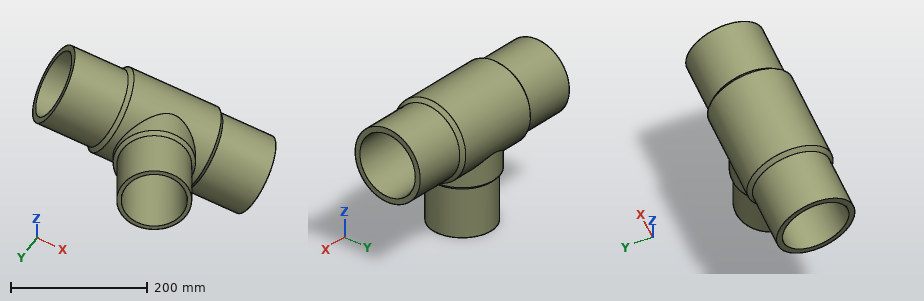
import cadquery as cq

run_length = 340.0
run_diameter = 125.0
run_bore = 106.0

body_length = 160.0
body_diameter = 137.5
body_chamfer = (body_diameter - run_diameter) / 2

branch_reach = 167.0
branch_diameter = 110.0
branch_bore = 96.8

collar_reach = 84.0
collar_diameter = 121.0
collar_chamfer = (collar_diameter - branch_diameter) / 2


def run_cylinder(diameter, length):
    """Cylinder along X, centred on the origin."""
    return cq.Workplane("YZ", origin=(-length / 2, 0, 0)).circle(diameter / 2).extrude(length)


def branch_cylinder(diameter, reach):
    """Cylinder from the run axis down to the given reach along -Z."""
    return cq.Workplane("XY").circle(diameter / 2).extrude(-reach)


def make_run():
    """Run pipe with its thickened body, both body ends bevelled down to the pipe."""
    body = run_cylinder(body_diameter, body_length)
    body = body.faces("<X or >X").edges().chamfer(body_chamfer)
    return run_cylinder(run_diameter, run_length).union(body)


def make_branch():
    """Branch pipe with its collar, the collar end bevelled down to the pipe."""
    collar = branch_cylinder(collar_diameter, collar_reach)
    collar = collar.faces("<Z").edges().chamfer(collar_chamfer)
    return branch_cylinder(branch_diameter, branch_reach).union(collar)


outside = make_run().union(make_branch())
bores = run_cylinder(run_bore, run_length).union(branch_cylinder(branch_bore, branch_reach))

result = outside.cut(bores)